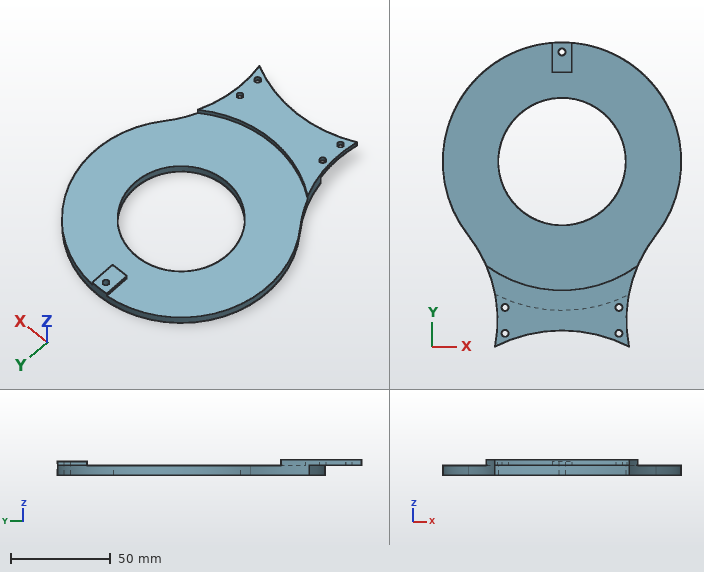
import cadquery as cq
import math

ring_radius = 60.0
bore_diameter = 64.0
plate_thickness = 5.0
plate_end_radius = 74.7

flank_radius = 68.8
flank_center_x = 101.3

overall_length = 153.0
overall_height = 8.0
tab_inner_radius = 64.7
tab_end_mid_y = -84.9
tab_hole_x = 28.6
tab_hole_ys = (-73.3, -86.3)

pad_width = 10.0
pad_length = 15.0
pad_height = 2.0
pad_hole_y = 55.0

hole_diameter = 3.4

center_distance = ring_radius + flank_radius
flank_center_y = -math.sqrt(center_distance**2 - flank_center_x**2)
tangent_x = flank_center_x * ring_radius / center_distance
tangent_y = flank_center_y * ring_radius / center_distance
waist_x = flank_center_x - flank_radius
corner_y = ring_radius - overall_length
corner_x = flank_center_x - math.sqrt(flank_radius**2 - (corner_y - flank_center_y)**2)


def disc(radius, height):
    return cq.Workplane("XY").circle(radius).extrude(height)


def outline(height):
    """Full outer shape: ring, concave neck flanks and concave end."""
    return (
        cq.Workplane("XY")
        .moveTo(tangent_x, tangent_y)
        .threePointArc((0, ring_radius), (-tangent_x, tangent_y))
        .threePointArc((-waist_x, flank_center_y), (-corner_x, corner_y))
        .threePointArc((0, tab_end_mid_y), (corner_x, corner_y))
        .threePointArc((waist_x, flank_center_y), (tangent_x, tangent_y))
        .close()
        .extrude(height)
    )


def make_plate():
    return outline(plate_thickness).intersect(disc(plate_end_radius, plate_thickness))


def make_tab():
    tab_thickness = overall_height - plate_thickness
    tab = outline(tab_thickness).cut(disc(tab_inner_radius, tab_thickness))
    return tab.translate((0, 0, plate_thickness))


def make_pad():
    """Rectangular pad whose outer edge follows the ring."""
    pad = (
        cq.Workplane("XY")
        .center(0, ring_radius - pad_length / 2)
        .rect(pad_width, pad_length)
        .extrude(pad_height)
        .intersect(disc(ring_radius, pad_height))
    )
    return pad.translate((0, 0, plate_thickness))


def make_holes():
    centers = [(side * tab_hole_x, y) for side in (-1, 1) for y in tab_hole_ys]
    centers.append((0, pad_hole_y))
    return cq.Workplane("XY").pushPoints(centers).circle(hole_diameter / 2).extrude(overall_height)


result = (
    make_plate()
    .union(make_tab())
    .union(make_pad())
    .cut(disc(bore_diameter / 2, plate_thickness))
    .cut(make_holes())
)